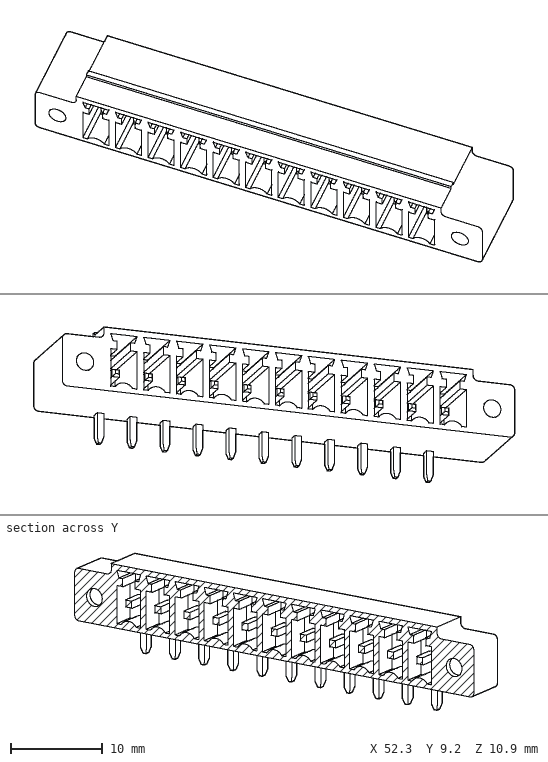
import cadquery as cq

LENGTH = 52.3
DEPTH = 9.2
CENTER_LENGTH = 42.7
CENTER_HEIGHT = 7.25
FLANGE_HEIGHT = 6.0
CORNER_RADIUS = 0.6

RIDGE_WIDTH = 0.65
RIDGE_HEIGHT = 0.3
RIDGE_FRONT = 3.0

CONTACT_COUNT = 11
ROW_LENGTH = 38.1
PITCH = ROW_LENGTH / (CONTACT_COUNT - 1)
CONTACT_HEIGHT = 3.05

CAVITY_DEPTH = 7.1
CAVITY_HALF_WIDTH = 1.5
CAVITY_FLOOR = 0.6
CHAMBER_TOP = 4.85
NECK_HALF_WIDTH = 0.8
KEYWAY_BOTTOM = 5.8
KEYWAY_TOP = 6.6
KEYWAY_BOTTOM_HALF_WIDTH = 1.25
HUMP_HEIGHT = 0.5
HUMP_HALF_WIDTH = 1.0

CONTACT_WIDTH = 0.85
CONTACT_TIP_SETBACK = 2.1
CONTACT_TIP_LENGTH = 0.5
CONTACT_TIP_WIDTH = 0.4

SOLDER_PIN_WIDTH = 0.8
SOLDER_PIN_DEPTH = 1.0
SOLDER_PIN_LENGTH = 3.35
SOLDER_PIN_FROM_BACK = 1.25
SOLDER_TIP_LENGTH = 0.7
SOLDER_TIP_TAPER = 0.4

SCREW_HOLE_DIAMETER = 2.0
SCREW_HOLE_DEPTH = 5.25
SCREW_HOLE_OFFSET = 23.55
SCREW_HOLE_HEIGHT = CONTACT_HEIGHT


def housing():
    """Long block with a raised center, rounded along its outer and inner flange edges."""
    flanges = cq.Workplane("XY").box(LENGTH, DEPTH, FLANGE_HEIGHT, centered=(True, False, False))
    center = cq.Workplane("XY").box(CENTER_LENGTH, DEPTH, CENTER_HEIGHT, centered=(True, False, False))
    body = flanges.union(center)
    below_center_top = cq.selectors.BoxSelector(
        (-LENGTH, -DEPTH, -FLANGE_HEIGHT),
        (LENGTH, 2 * DEPTH, (FLANGE_HEIGHT + CENTER_HEIGHT) / 2),
    )
    return body.edges("|Y").edges(below_center_top).fillet(CORNER_RADIUS)


def top_ridge():
    return (
        cq.Workplane("XY", origin=(0, RIDGE_FRONT, CENTER_HEIGHT))
        .box(CENTER_LENGTH, RIDGE_WIDTH, RIDGE_HEIGHT, centered=(True, False, False))
    )


def plug_cavity(x):
    """Keyed pocket opening at the front face, with an arched hump along its floor."""
    right_side = [
        (HUMP_HALF_WIDTH, CAVITY_FLOOR),
        (CAVITY_HALF_WIDTH, CAVITY_FLOOR),
        (CAVITY_HALF_WIDTH, CHAMBER_TOP),
        (NECK_HALF_WIDTH, CHAMBER_TOP),
        (NECK_HALF_WIDTH, KEYWAY_BOTTOM),
        (KEYWAY_BOTTOM_HALF_WIDTH, KEYWAY_BOTTOM),
        (CAVITY_HALF_WIDTH, KEYWAY_TOP),
    ]
    left_side = [(-across, up) for across, up in reversed(right_side)]
    return (
        cq.Workplane("XZ", origin=(x, 0, 0))
        .polyline(right_side + left_side)
        .threePointArc((0, CAVITY_FLOOR + HUMP_HEIGHT), right_side[0]).close()
        .extrude(-CAVITY_DEPTH)
    )


def contact_pin(x):
    """Square pin reaching forward from the cavity's back wall to a tapered tip."""
    tip_base = CONTACT_TIP_SETBACK + CONTACT_TIP_LENGTH
    shank = (
        cq.Workplane("XZ", origin=(x, tip_base, CONTACT_HEIGHT))
        .rect(CONTACT_WIDTH, CONTACT_WIDTH)
        .extrude(tip_base - CAVITY_DEPTH)
    )
    tip = (
        cq.Workplane("XZ", origin=(x, tip_base, CONTACT_HEIGHT))
        .rect(CONTACT_WIDTH, CONTACT_WIDTH)
        .workplane(offset=CONTACT_TIP_LENGTH)
        .rect(CONTACT_TIP_WIDTH, CONTACT_TIP_WIDTH)
        .loft()
    )
    return shank.union(tip)


def solder_pin(x):
    """Rectangular pin below the housing, tapered on all four sides at its end."""
    shank_length = SOLDER_PIN_LENGTH - SOLDER_TIP_LENGTH
    y = DEPTH - SOLDER_PIN_FROM_BACK
    shank = (
        cq.Workplane("XY", origin=(x, y, 0))
        .rect(SOLDER_PIN_WIDTH, SOLDER_PIN_DEPTH)
        .extrude(-shank_length)
    )
    tip = (
        cq.Workplane("XY", origin=(x, y, -shank_length))
        .rect(SOLDER_PIN_WIDTH, SOLDER_PIN_DEPTH)
        .workplane(offset=-SOLDER_TIP_LENGTH)
        .rect(SOLDER_PIN_WIDTH - SOLDER_TIP_TAPER, SOLDER_PIN_DEPTH - SOLDER_TIP_TAPER)
        .loft()
    )
    return shank.union(tip)


def screw_hole(x):
    return (
        cq.Workplane("XZ", origin=(x, 0, SCREW_HOLE_HEIGHT))
        .circle(SCREW_HOLE_DIAMETER / 2)
        .extrude(-SCREW_HOLE_DEPTH)
    )


result = housing().union(top_ridge())

for side in (-1, 1):
    result = result.cut(screw_hole(side * SCREW_HOLE_OFFSET))

for index in range(CONTACT_COUNT):
    contact_x = index * PITCH - ROW_LENGTH / 2
    result = result.cut(plug_cavity(contact_x))
    result = result.union(contact_pin(contact_x)).union(solder_pin(contact_x))